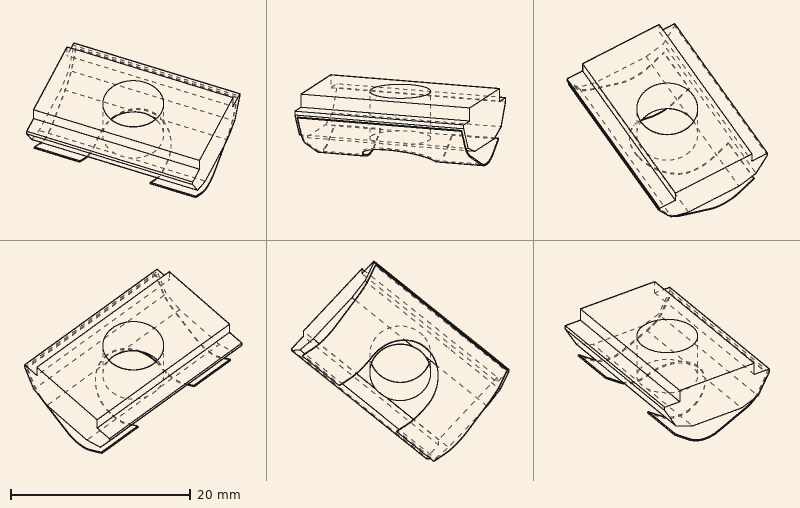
import cadquery as cq
import math

length = 20.0
width = 14.05
height = 5.35
neck_width = 10.0
neck_height = 1.5
lip_height = 0.45
flank_angle = 60.0
chamfer_height = 0.85
chamfer_angle = 20.5
hole_diameter = 6.8

spring_length = 19.45
sheet_thickness = 0.15
first_bend_y = 5.25
second_bend_y = -1.72
free_end_y = -5.48
leg_angle = 25.0
tip_angle = 35.0
bend_radius = 4.0
slot_width = 8.45


def slope(angle):
    return math.tan(math.radians(angle))


def make_block():
    lip_top = height - neck_height
    flank_top = lip_top - lip_height
    flank_foot_y = width / 2 - (flank_top - chamfer_height) / slope(flank_angle)
    floor_y = flank_foot_y - chamfer_height / slope(chamfer_angle)
    half_section = [
        (0, 0),
        (floor_y, 0),
        (flank_foot_y, chamfer_height),
        (width / 2, flank_top),
        (width / 2, lip_top),
        (neck_width / 2, lip_top),
        (neck_width / 2, height),
        (0, height),
    ]
    half = cq.Workplane("YZ").polyline(half_section).close().extrude(length / 2, both=True)
    block = half.union(half.mirror("XZ"))
    hole = cq.Workplane("XY").circle(hole_diameter / 2).extrude(height)
    return block.cut(hole)


def raised_corner(point, angle_before, angle_after):
    """Inner sheet corner above an outer one, for leg directions heading toward -Y."""
    middle = math.radians((angle_before + angle_after) / 2)
    half_turn = math.radians((angle_after - angle_before) / 2)
    miter = sheet_thickness / math.cos(half_turn)
    return (point[0] + miter * math.sin(middle), point[1] + miter * math.cos(middle))


def make_spring():
    flank_top = height - neck_height - lip_height
    sheet_drop = sheet_thickness / math.cos(math.radians(flank_angle))
    start = (width / 2, flank_top - sheet_drop)
    first_bend = (first_bend_y, start[1] - (start[0] - first_bend_y) * slope(flank_angle))
    second_bend = (second_bend_y, first_bend[1] - (first_bend_y - second_bend_y) * slope(leg_angle))
    free_end = (free_end_y, second_bend[1] + (second_bend_y - free_end_y) * slope(tip_angle))

    outer = [start, first_bend, second_bend, free_end]
    directions = [-flank_angle, -flank_angle, -leg_angle, tip_angle, tip_angle]
    inner = [
        raised_corner(point, before, after)
        for point, before, after in zip(outer, directions, directions[1:])
    ]
    sheet = cq.Workplane("YZ").polyline(outer + inner[::-1]).close().extrude(spring_length / 2, both=True)

    for bend in (1, 2):
        for corner, radius in (
            (outer[bend], bend_radius),
            (inner[bend], bend_radius - sheet_thickness),
        ):
            nearest = cq.selectors.NearestToPointSelector((0, corner[0], corner[1]))
            sheet = sheet.edges("|X").edges(nearest).fillet(radius)

    cut_depth = 2 * height
    slot = cq.Workplane("XY").circle(slot_width / 2).extrude(cut_depth, both=True)
    slot = slot.union(cq.Workplane("XY").center(0, -width / 4).rect(slot_width, width / 2)
                      .extrude(cut_depth, both=True))
    return sheet.cut(slot)


result = make_block().union(make_spring())